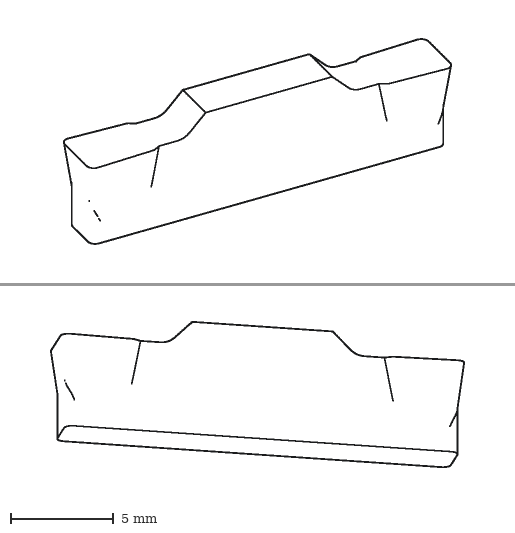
import cadquery as cq
import math

length = 20.03
head_width = 3.05
height = 5.77

body_half_width = 1.18
corner_radius = 0.4
shelf_height = 4.6
front_edge_height = 2.55
plateau_half_length = 3.49
ramp_angle = math.radians(45)
ramp_foot_radius = 1.0

front_relief = math.radians(7)
side_relief_degrees = 5.4
plan_taper = math.radians(2.3)
shoulder_y = 6.43
shoulder_radius = 0.2
neck_y = 6.05
root_y = 5.2
head_depth = 4.2
front_allowance = 1.0

half_length = length / 2
body_half_length = half_length - (shelf_height - front_edge_height) * math.tan(front_relief)
ramp_foot_y = plateau_half_length + (height - shelf_height) / math.tan(ramp_angle)


def make_body():
    """Narrow bar with rounded ends and a raised, ramped middle."""
    profile = [
        (-body_half_length, 0),
        (body_half_length, 0),
        (body_half_length, shelf_height),
        (ramp_foot_y, shelf_height),
        (plateau_half_length, height),
        (-plateau_half_length, height),
        (-ramp_foot_y, shelf_height),
        (-body_half_length, shelf_height),
    ]
    body = cq.Workplane("YZ").polyline(profile).close().extrude(body_half_width, both=True)
    body = body.edges("|Z").fillet(corner_radius)
    for side in (-1, 1):
        ramp_foot = cq.selectors.NearestToPointSelector((0, side * ramp_foot_y, shelf_height))
        body = body.edges("|X").edges(ramp_foot).fillet(ramp_foot_radius)
    return body


def make_head():
    """Cutting head at the +Y end, relieved on every flank below its flat top."""
    def half_width_at(y):
        return head_width / 2 + (y - half_length + corner_radius) * math.tan(plan_taper)

    front_y = half_length + front_allowance
    right_side = [
        (body_half_width, root_y),
        (body_half_width, neck_y),
        (half_width_at(shoulder_y), shoulder_y),
        (half_width_at(front_y), front_y),
    ]
    left_side = [(-x, y) for x, y in reversed(right_side)]
    flanks = (
        cq.Workplane("XY", origin=(0, 0, shelf_height))
        .polyline(right_side + left_side)
        .close()
        .extrude(-head_depth, taper=side_relief_degrees)
    )

    bottom_z = shelf_height - head_depth
    front_setback = head_depth * math.tan(front_relief)
    relief_profile = [
        (0, bottom_z),
        (half_length - front_setback, bottom_z),
        (half_length, shelf_height),
        (0, shelf_height),
    ]
    relief = cq.Workplane("YZ").polyline(relief_profile).close().extrude(head_width, both=True)
    head = flanks.intersect(relief)

    for side in (-1, 1):
        corner_point = (side * head_width / 2, half_length, shelf_height - head_depth / 2)
        corner = cq.selectors.NearestToPointSelector(corner_point)
        head = head.edges(corner).fillet(corner_radius)

    for side in (-1, 1):
        shoulder_point = (side * half_width_at(shoulder_y), shoulder_y, shelf_height - head_depth / 2)
        shoulder = cq.selectors.NearestToPointSelector(shoulder_point)
        head = head.edges(shoulder).fillet(shoulder_radius)
    return head


head = make_head()
result = make_body().union(head).union(head.mirror("XZ"))